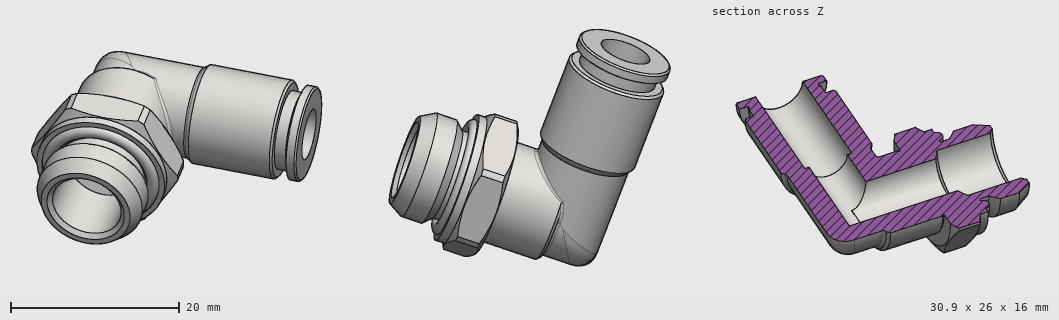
import cadquery as cq
import math


overall_length = 30.9
elbow_radius = 11.0 / 2
tangency = 0.55

stem_radius = 12.5 / 2
stem_top = -1.0
stem_top_chamfer = 0.37
elbow_fillet = 0.37
hex_top = -8.47
hex_bottom = -12.45
hex_across_flats = 16.0
hex_across_corners = 18.0
hex_chamfer_radius = 15.75 / 2
hex_chamfer_height = 0.62
relief_radius = 12.25 / 2
relief_height = 0.2
collar_radius = 15.8 / 2
collar_bottom = -13.47
seal_radius = 14.45 / 2
seal_section_radius = 0.75
neck_radius = 11.0 / 2
thread_shoulder_top = -14.65
thread_radius = 13.0 / 2
thread_top = -15.7
thread_taper_top = -18.23
thread_tip_radius = 11.0 / 2
stem_bottom = -20.0

stem_bore_radius = 6.0 / 2
counterbore_radius = 8.5 / 2
counterbore_top = hex_bottom
counterbore_cone_height = 0.75
mouth_radius = 9.55 / 2
mouth_depth = 0.53

sleeve_start = 8.22
sleeve_end = 18.97
sleeve_radius = 12.0 / 2
sleeve_start_chamfer = 0.45
sleeve_end_chamfer = 0.28
lead_in_start = 7.97
lead_in_radius = 11.3 / 2
collet_radius = 9.55 / 2
collet_groove_start = 20.33
collet_groove_radius = 9.27 / 2
flange_start = 20.7
flange_radius = 11.5 / 2
flange_chamfer = 0.22
tube_end = overall_length - hex_across_corners / 2
passage_radius = 5.0 / 2
tube_bore_radius = 6.15 / 2
tube_stop = sleeve_start


def stem_cylinder(radius, start, end):
    """Cylinder on the Y axis between two Y positions."""
    return cq.Workplane("XZ", origin=(0, start, 0)).circle(radius).extrude(start - end)


def tube_cylinder(radius, start, end):
    """Cylinder on the X axis between two X positions."""
    return cq.Workplane("YZ", origin=(start, 0, 0)).circle(radius).extrude(end - start)


def revolve_about_y(outline):
    return outline.close().revolve(360, (0, 0, 0), (0, 1, 0))


def revolve_about_x(outline):
    return outline.close().revolve(360, (0, 0, 0), (1, 0, 0))


def outline_prism(points):
    """Prism over an XY outline, deeper in Z than the elbow."""
    return cq.Workplane("XY").polyline(points).close().extrude(2 * elbow_radius, both=True)


def make_elbow():
    """Two pipes trimmed beside the outer corner, which an ellipsoid segment tangent to both closes."""
    stem_pipe = stem_cylinder(elbow_radius, elbow_radius, hex_top)
    tube_pipe = tube_cylinder(elbow_radius, -elbow_radius, lead_in_start)
    reach = 2 * elbow_radius
    beside_stem = (-reach, tangency * reach)
    beside_tube = (-tangency * reach, reach)
    above_stem = outline_prism([(0, 0), beside_stem, (-reach, reach), (reach, reach), (reach, 0)])
    left_of_tube = outline_prism([(0, 0), beside_tube, (-reach, reach), (-reach, -reach), (0, -reach)])

    long_scale = math.sqrt(1 + tangency)
    short_scale = math.sqrt(1 - tangency)
    half_angle = math.degrees(math.atan(short_scale / long_scale))
    stretch = cq.Matrix([
        [long_scale, 0, 0, 0],
        [0, short_scale, 0, 0],
        [0, 0, 1, 0],
    ])
    ball_segment = (
        cq.Workplane("XZ")
        .moveTo(0, -elbow_radius)
        .threePointArc((elbow_radius, 0), (0, elbow_radius))
        .close()
        .revolve(2 * half_angle, (0, 0, 0), (0, 1, 0))
        .rotate((0, 0, 0), (0, 0, 1), -half_angle)
    )
    corner = cq.Workplane(ball_segment.val().transformGeometry(stretch)).rotate((0, 0, 0), (0, 0, 1), 135)
    return stem_pipe.cut(above_stem).union(corner).union(tube_pipe.cut(left_of_tube))


def make_stem_barrel():
    """Upper stem with a chamfered top and a narrow relief above the hexagon."""
    barrel = (
        stem_cylinder(stem_radius, stem_top, hex_top + relief_height)
        .faces(">Y").chamfer(stem_top_chamfer)
    )
    return barrel.union(stem_cylinder(relief_radius, stem_top - stem_top_chamfer, hex_top))


def is_elbow_seam(edge):
    """True for the edges where the elbow pipes leave the stem barrel."""
    box = edge.BoundingBox()
    clearance = 0.03
    beside_pipes = box.ymin > -elbow_radius - clearance and box.ymax < stem_top + clearance
    inside_elbow = box.xmin > -elbow_radius - clearance
    chamfer_rim = edge.geomType() == "CIRCLE" and box.xmax > elbow_radius
    return beside_pipes and inside_elbow and not chamfer_rim and edge.geomType() != "ELLIPSE"


def make_threaded_end():
    """Collar, rounded seal ring, neck and plain thread envelope."""
    return revolve_about_y(
        cq.Workplane("XY")
        .moveTo(0, hex_bottom)
        .lineTo(collar_radius, hex_bottom)
        .lineTo(collar_radius, collar_bottom)
        .lineTo(seal_radius, collar_bottom)
        .threePointArc(
            (seal_radius - seal_section_radius, collar_bottom - seal_section_radius),
            (seal_radius - 2 * seal_section_radius, collar_bottom),
        )
        .lineTo(neck_radius, collar_bottom)
        .lineTo(neck_radius, thread_shoulder_top)
        .lineTo(thread_radius, thread_top)
        .lineTo(thread_radius, thread_taper_top)
        .lineTo(thread_tip_radius, stem_bottom)
        .lineTo(0, stem_bottom)
    )


def make_hex():
    """Hexagon with its corners turned off and both rims chamfered."""
    sharp_corners = hex_across_flats / math.cos(math.radians(30))
    prism = (
        cq.Workplane("XZ", origin=(0, hex_top, 0))
        .polygon(6, sharp_corners)
        .extrude(hex_top - hex_bottom)
    )
    corner_radius = hex_across_corners / 2
    envelope = revolve_about_y(
        cq.Workplane("XY")
        .moveTo(0, hex_top)
        .lineTo(hex_chamfer_radius, hex_top)
        .lineTo(corner_radius, hex_top - hex_chamfer_height)
        .lineTo(corner_radius, hex_bottom + hex_chamfer_height)
        .lineTo(hex_chamfer_radius, hex_bottom)
        .lineTo(0, hex_bottom)
    )
    return prism.intersect(envelope)


def make_socket():
    return revolve_about_x(
        cq.Workplane("XY")
        .moveTo(0, 0)
        .lineTo(0, elbow_radius)
        .lineTo(lead_in_start, elbow_radius)
        .lineTo(sleeve_start, lead_in_radius)
        .lineTo(sleeve_start + sleeve_start_chamfer, sleeve_radius)
        .lineTo(sleeve_end - sleeve_end_chamfer, sleeve_radius)
        .lineTo(sleeve_end, sleeve_radius - sleeve_end_chamfer)
        .lineTo(sleeve_end, collet_radius)
        .lineTo(collet_groove_start, collet_radius)
        .lineTo(collet_groove_start, collet_groove_radius)
        .lineTo(flange_start, collet_groove_radius)
        .lineTo(flange_start, flange_radius)
        .lineTo(tube_end - flange_chamfer, flange_radius)
        .lineTo(tube_end, flange_radius - flange_chamfer)
        .lineTo(tube_end, 0)
    )


def make_bores():
    stem_bore = revolve_about_y(
        cq.Workplane("XY")
        .moveTo(0, 0)
        .lineTo(stem_bore_radius, 0)
        .lineTo(stem_bore_radius, counterbore_top + counterbore_cone_height)
        .lineTo(counterbore_radius, counterbore_top)
        .lineTo(counterbore_radius, stem_bottom + mouth_depth)
        .lineTo(mouth_radius, stem_bottom)
        .lineTo(0, stem_bottom)
    )
    passage = tube_cylinder(passage_radius, -stem_bore_radius, tube_stop)
    tube_bore = tube_cylinder(tube_bore_radius, tube_stop, tube_end)
    return stem_bore.union(passage).union(tube_bore)


body = make_elbow().union(make_socket()).union(make_stem_barrel())
body = body.edges().filter(is_elbow_seam).fillet(elbow_fillet)
body = body.union(make_threaded_end()).union(make_hex())

result = body.cut(make_bores())